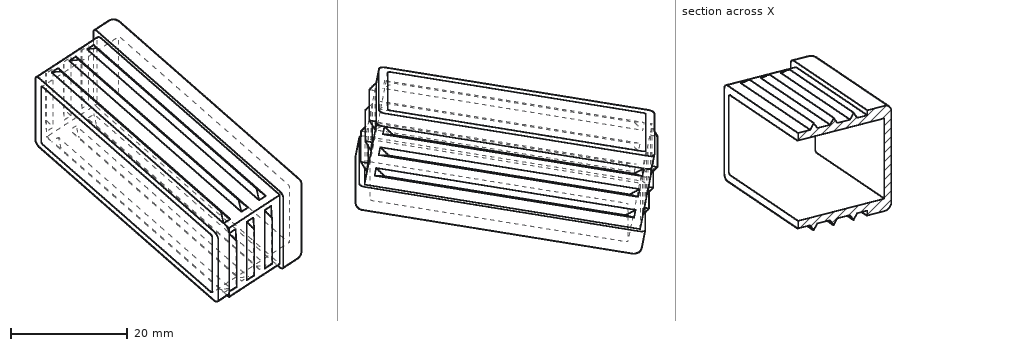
import cadquery as cq


overall_width = 50.35
overall_depth = 19.0
overall_height = 20.35

rib_height = 1.1
rib_base_width = 1.5
rib_pitch = 4.05
rib_count = 3
rib_end_slope = 1.6
rib_end_margin = 1.4
first_rib_offset = 3.2

body_width = overall_width - 2 * rib_height
body_height = overall_height - 2 * rib_height
body_corner_radius = 1.1
short_round_length = first_rib_offset - rib_base_width / 2

wall = 1.5
floor_thickness = wall
cavity_width = body_width - 2 * wall
cavity_height = body_height - 2 * wall
cavity_corner_radius = 0.5

cap_width = 50.0
cap_height = 20.0
cap_thickness = 5.0
cap_corner_radius = 1.0
cap_edge_radius = 1.5
cap_start = overall_depth - cap_thickness



def bar(width, height, start, end):
    """Rectangular bar along Y, centred on the Y axis."""
    return cq.Workplane("XY").box(width, end - start, height).translate((0, (start + end) / 2, 0))


def make_cap():
    cap = bar(cap_width, cap_height, cap_start, overall_depth)
    cap = cap.edges("|Y").fillet(cap_corner_radius)
    return cap.faces(">Y").edges().fillet(cap_edge_radius)


def make_body():
    """Body with one corner rounded all along and the others only at the open end."""
    open_end = bar(body_width, body_height, 0, short_round_length)
    open_end = open_end.edges("|Y").fillet(body_corner_radius)
    main = bar(body_width, body_height, short_round_length, cap_start)
    main = main.edges("|Y and <X and >Z").fillet(body_corner_radius)
    return open_end.union(main)


def make_cavity():
    cavity = bar(cavity_width, cavity_height, 0, overall_depth - floor_thickness)
    return cavity.edges("|Y").fillet(cavity_corner_radius)


def make_rib(length):
    """Triangular rib along X, base on Z = 0, with both ends sloping up to the crest."""
    half_length = length / 2
    half_base = rib_base_width / 2
    section = [(-half_base, 0), (half_base, 0), (0, rib_height)]
    prism = cq.Workplane("YZ").polyline(section).close().extrude(half_length, both=True)
    crest_end = half_length - rib_end_slope
    side = [(-half_length, 0), (half_length, 0), (crest_end, rib_height), (-crest_end, rib_height)]
    side_shape = cq.Workplane("XZ").polyline(side).close().extrude(half_base, both=True)
    return prism.intersect(side_shape)


def add_ribs(plug):
    top_rib = make_rib(body_width - 2 * rib_end_margin).translate((0, 0, body_height / 2))
    side_rib = make_rib(body_height - 2 * rib_end_margin).translate((0, 0, body_width / 2))
    placements = [(top_rib, 0), (side_rib, 90), (top_rib, 180), (side_rib, 270)]
    for index in range(rib_count):
        rib_position = first_rib_offset + index * rib_pitch
        for rib, angle in placements:
            turned = rib.rotate((0, 0, 0), (0, 1, 0), angle)
            plug = plug.union(turned.translate((0, rib_position, 0)))
    return plug


result = add_ribs(make_body().union(make_cap())).cut(make_cavity())